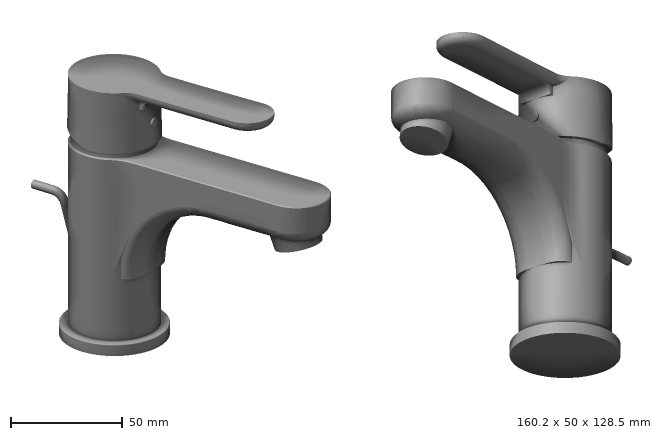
import cadquery as cq
import math


flange_radius = 25.0
flange_height = 5.6
column_radius = 21.0
column_top = 95.5
edge_break = 0.5

spout_reach = 115.5
spout_half_width = 15.4
spout_bottom = 75.7
spout_tip_x = spout_reach - spout_half_width
spout_corner_width = 9.6
spout_corner_height = 6.7
spout_root_z = 36.4
spout_neck_radius = 19.0
underside_radius = spout_bottom - spout_root_z
underside_center_x = column_radius + underside_radius
neck_edge_z = 63.3

aerator_x = 101.1
aerator_face_z = 70.5
aerator_face_radius = 11.0
aerator_top_radius = 12.2
aerator_length = 10.4
aerator_tilt = 15.1

cap_bottom_radius = 19.9
cap_top_radius = 17.5
cap_height = 9.5

handle_top = 128.5
handle_top_radius = 21.0
handle_bottom_radius = 21.5
handle_bottom = 98.4
handle_rear_bottom = 104.2
handle_dish = 0.5
lever_reach = 85.1
lever_half_width = 12.0
lever_bottom = 123.4
lever_edge_radius = 3.5
lever_neck_radius = 9.6
gusset_radius = 4.5
plug_radius = 2.1
plug_z = 109.8
plug_proud = 0.6

rod_radius = 2.1
rod_end_x = -44.7
rod_bend_x = -33.7
rod_z = 61.7
rod_bend_radius = 6.9
rod_slope = 17.0
rod_lower_length = 32.0
rod_turn = -1.5


def neck_points(radius, half_width, blend):
    """Tangent points and middle of the concave arc from a round barrel to a straight side."""
    side_x = math.sqrt((radius + blend) ** 2 - (half_width + blend) ** 2)
    center_y = half_width + blend
    ratio = radius / (radius + blend)
    on_barrel = (side_x * ratio, center_y * ratio)
    on_side = (side_x, half_width)
    chord_x = (on_barrel[0] + on_side[0]) / 2 - side_x
    chord_y = (on_barrel[1] + on_side[1]) / 2 - center_y
    stretch = blend / math.hypot(chord_x, chord_y)
    middle = (side_x + chord_x * stretch, center_y + chord_y * stretch)
    return on_barrel, middle, on_side


def mirrored(point):
    return (point[0], -point[1])


def neck_outline(bottom, on_barrel, middle, on_side):
    """Plan outline, at height bottom, of the flare between a barrel and its arm."""
    return (
        cq.Workplane("XY", origin=(0, 0, bottom))
        .moveTo(0, 0)
        .lineTo(*mirrored(on_barrel))
        .threePointArc(mirrored(middle), mirrored(on_side))
        .lineTo(*on_side)
        .threePointArc(middle, on_barrel)
        .close()
    )


def half_section(plane, top):
    """Half of the spout cross-section: straight side and elliptical lower corner."""
    return (
        plane.moveTo(0, top)
        .lineTo(spout_half_width, top)
        .lineTo(spout_half_width, spout_bottom + spout_corner_height)
        .ellipseArc(
            spout_corner_width, spout_corner_height, angle1=270, angle2=360,
            startAtCurrent=True, sense=-1,
        )
        .lineTo(0, spout_bottom)
        .close()
    )


def make_spout():
    plane = cq.Workplane("YZ", origin=(underside_center_x, 0, 0))
    half_arm = half_section(plane, column_top).extrude(spout_tip_x - underside_center_x)
    arm = half_arm.union(half_arm.mirror("XZ"))

    tip_plane = cq.Workplane("XZ", origin=(spout_tip_x, 0, 0))
    tip = half_section(tip_plane, column_top).revolve(360, (0, 0), (0, 1))

    trim_width = 2 * spout_half_width
    root_top = column_top + underside_center_x
    half_root = half_section(plane, root_top).revolve(90, (0, spout_root_z), (-1, spout_root_z))
    root = half_root.union(half_root.mirror("XZ"))
    trim = cq.Workplane("XY", origin=(0, 0, spout_root_z)).box(
        underside_center_x, trim_width, column_top - spout_root_z, centered=(False, True, False)
    )
    root = root.intersect(trim)

    on_barrel, middle, on_side = neck_points(column_radius, spout_half_width, spout_neck_radius)
    neck = neck_outline(spout_root_z, on_barrel, middle, on_side).extrude(column_top - spout_root_z)
    taper = (
        cq.Workplane("XZ")
        .polyline([
            (0, spout_root_z),
            (on_barrel[0], spout_root_z),
            (on_side[0], neck_edge_z),
            (on_side[0], column_top),
            (0, column_top),
        ])
        .close()
        .extrude(column_radius, both=True)
    )
    return arm.union(tip).union(root).union(neck.intersect(taper))


def make_blank_body():
    flange = cq.Workplane("XY").circle(flange_radius).extrude(flange_height)
    flange = flange.faces(">Z").edges().fillet(edge_break)
    column = cq.Workplane("XY").circle(column_radius).extrude(column_top)
    body = flange.union(column).union(make_spout())
    return body.faces(">Z").edges().chamfer(edge_break)


def make_aerator():
    aerator = cq.Solid.makeCone(aerator_face_radius, aerator_top_radius, aerator_length)
    tilted = aerator.rotate(cq.Vector(0, 0, 0), cq.Vector(0, 1, 0), -aerator_tilt)
    return cq.Workplane(tilted.translate(cq.Vector(aerator_x, 0, aerator_face_z)))


def make_cap():
    cap = cq.Solid.makeCone(cap_bottom_radius, cap_top_radius, cap_height)
    return cq.Workplane(cap.translate(cq.Vector(0, 0, column_top)))


def make_rod():
    turn = math.radians(90 - rod_slope)
    bend_center_z = rod_z - rod_bend_radius
    bend_end = (
        rod_bend_x + rod_bend_radius * math.sin(turn),
        bend_center_z + rod_bend_radius * math.cos(turn),
    )
    bend_middle = (
        rod_bend_x + rod_bend_radius * math.sin(turn / 2),
        bend_center_z + rod_bend_radius * math.cos(turn / 2),
    )
    lower_end = (
        bend_end[0] + rod_lower_length * math.cos(turn),
        bend_end[1] - rod_lower_length * math.sin(turn),
    )
    path = (
        cq.Workplane("XZ")
        .moveTo(rod_end_x, rod_z)
        .lineTo(rod_bend_x, rod_z)
        .threePointArc(bend_middle, bend_end)
        .lineTo(*lower_end)
    )
    rod = cq.Workplane("YZ", origin=(rod_end_x, 0, rod_z)).circle(rod_radius).sweep(path)
    return rod.rotate((bend_end[0], 0, 0), (bend_end[0], 0, 1), rod_turn)


def make_lever():
    tip_x = lever_reach - lever_half_width
    on_barrel, middle, on_side = neck_points(handle_top_radius, lever_half_width, lever_neck_radius)
    lever = (
        cq.Workplane("XY", origin=(0, 0, lever_bottom))
        .moveTo(0, 0)
        .lineTo(*mirrored(on_barrel))
        .threePointArc(mirrored(middle), mirrored(on_side))
        .lineTo(tip_x, -lever_half_width)
        .threePointArc((lever_reach, 0), (tip_x, lever_half_width))
        .lineTo(*on_side)
        .threePointArc(middle, on_barrel)
        .close()
        .extrude(handle_top - lever_bottom)
    )
    rim = cq.selectors.BoxSelector(
        (on_barrel[0], -handle_top_radius, lever_bottom - edge_break),
        (lever_reach + edge_break, handle_top_radius, lever_bottom + edge_break),
    )
    return lever.edges(rim).fillet(lever_edge_radius)


def make_gusset():
    """Concave blend under the root of the lever."""
    root_x = (handle_top_radius + handle_bottom_radius) / 2
    reach = gusset_radius * (1 - math.sqrt(0.5))
    return (
        cq.Workplane("XZ")
        .moveTo(0, lever_bottom)
        .lineTo(root_x + gusset_radius, lever_bottom)
        .threePointArc((root_x + reach, lever_bottom - reach), (root_x, lever_bottom - gusset_radius))
        .lineTo(0, lever_bottom - gusset_radius)
        .close()
        .extrude(lever_half_width - lever_edge_radius, both=True)
    )


def make_handle():
    barrel = cq.Workplane(
        cq.Solid.makeCone(handle_bottom_radius, handle_top_radius, handle_top - handle_bottom)
        .translate(cq.Vector(0, 0, handle_bottom))
    )
    plug_reach = handle_bottom_radius + plug_proud
    plug = cq.Workplane("YZ", origin=(0, 0, plug_z)).circle(plug_radius).extrude(plug_reach)
    handle = barrel.union(make_lever()).union(make_gusset()).union(plug)

    rear = -handle_bottom_radius
    middle_x = (rear + lever_reach) / 2
    outline = (
        cq.Workplane("XZ")
        .moveTo(rear, handle_rear_bottom)
        .lineTo(0, handle_bottom)
        .lineTo(lever_reach, handle_bottom)
        .lineTo(lever_reach, handle_top)
        .threePointArc((middle_x, handle_top - handle_dish), (rear, handle_top))
        .close()
        .extrude(2 * handle_bottom_radius, both=True)
    )
    return handle.intersect(outline)


rod = make_rod()
aerator = make_aerator()
cap = make_cap()
body = make_blank_body().cut(rod).cut(aerator)
handle = make_handle().cut(cap)

result = cq.Compound.makeCompound([body.val(), aerator.val(), cap.val(), handle.val(), rod.val()])